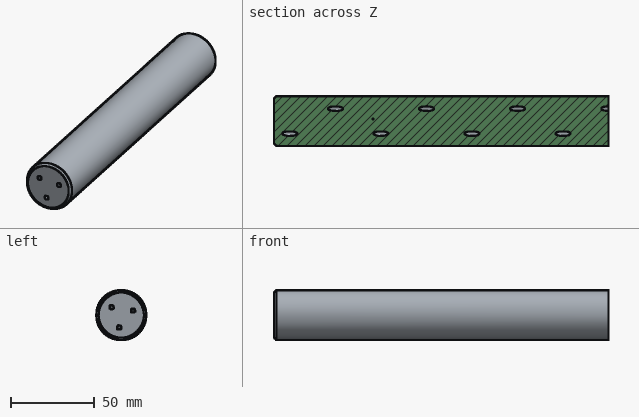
import cadquery as cq
import math

LENGTH = 200.0
DIAMETER = 30.0
END_CHAMFER = 1.5

HOLE_COUNT = 3
HOLE_DIAMETER = 2.5
HOLE_CIRCLE_DIAMETER = DIAMETER / 2

HELIX_ANGLE = 30.0
HELIX_PITCH = math.pi * DIAMETER / math.tan(math.radians(HELIX_ANGLE))
HOLE_TWIST = 360.0 * LENGTH / HELIX_PITCH

FIRST_HOLE_START_ANGLE = -HOLE_TWIST


def chamfered_bar():
    bar = cq.Workplane("YZ").circle(DIAMETER / 2).extrude(LENGTH)
    return bar.faces("<X").chamfer(END_CHAMFER)


def coolant_hole(start_angle):
    """Helical hole that starts in the -X end face, start_angle degrees from +Y towards +Z."""
    angle = math.radians(start_angle)
    center_y = HOLE_CIRCLE_DIAMETER / 2 * math.cos(angle)
    center_z = HOLE_CIRCLE_DIAMETER / 2 * math.sin(angle)
    section = cq.Workplane("YZ").moveTo(center_y, center_z).circle(HOLE_DIAMETER / 2)
    return section.twistExtrude(LENGTH, HOLE_TWIST)


result = chamfered_bar()
for index in range(HOLE_COUNT):
    start_angle = FIRST_HOLE_START_ANGLE + index * 360.0 / HOLE_COUNT
    result = result.cut(coolant_hole(start_angle))